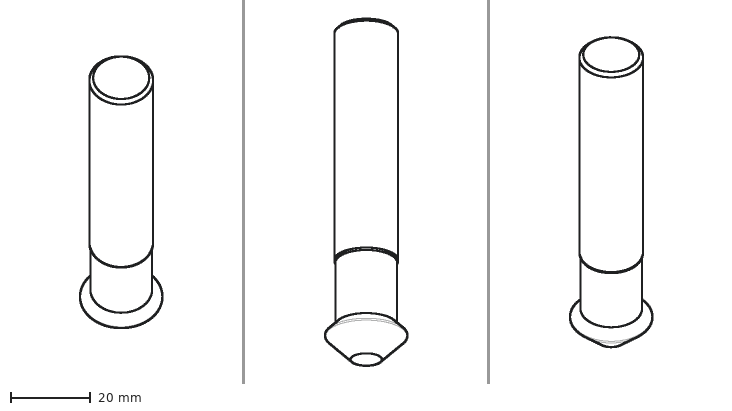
import cadquery as cq
import math

total_length = 90.0

shank_diameter = 16.0
neck_diameter = 15.5
top_chamfer = 1.0
shank_bottom_z = 27.1
step_height = 0.5

head_diameter = 20.7
rim_z = 6.6
rim_radius = 0.4
socket_floor_z = rim_z

shank_radius = shank_diameter / 2
neck_radius = neck_diameter / 2
head_radius = head_diameter / 2
rim_half_height = rim_radius * math.sin(math.radians(45))
rim_tangent_radius = head_radius - rim_radius + rim_half_height
head_top_z = rim_z + rim_half_height + (rim_tangent_radius - neck_radius)
head_bottom_radius = rim_tangent_radius - (rim_z - rim_half_height)


def revolve_about_z(outline):
    """Turn a closed radius-height outline into a solid of revolution about Z."""
    return outline.close().revolve(360, (0, 0), (0, 1))


def make_stud():
    """Shank with its neck, which reaches down to the floor of the head's socket."""
    profile = [
        (0, socket_floor_z),
        (neck_radius, socket_floor_z),
        (neck_radius, shank_bottom_z - step_height),
        (shank_radius, shank_bottom_z),
        (shank_radius, total_length - top_chamfer),
        (shank_radius - top_chamfer, total_length),
        (0, total_length),
    ]
    return revolve_about_z(cq.Workplane("XZ").polyline(profile))


def make_head():
    """Double cone with a rounded rim and a round socket for the neck."""
    outline = (
        cq.Workplane("XZ")
        .moveTo(0, 0)
        .lineTo(head_bottom_radius, 0)
        .lineTo(rim_tangent_radius, rim_z - rim_half_height)
        .threePointArc((head_radius, rim_z), (rim_tangent_radius, rim_z + rim_half_height))
        .lineTo(neck_radius, head_top_z)
        .lineTo(neck_radius, socket_floor_z)
        .lineTo(0, socket_floor_z)
    )
    return revolve_about_z(outline)


stud = make_stud()
head = make_head()

result = cq.Compound.makeCompound([stud.val(), head.val()])